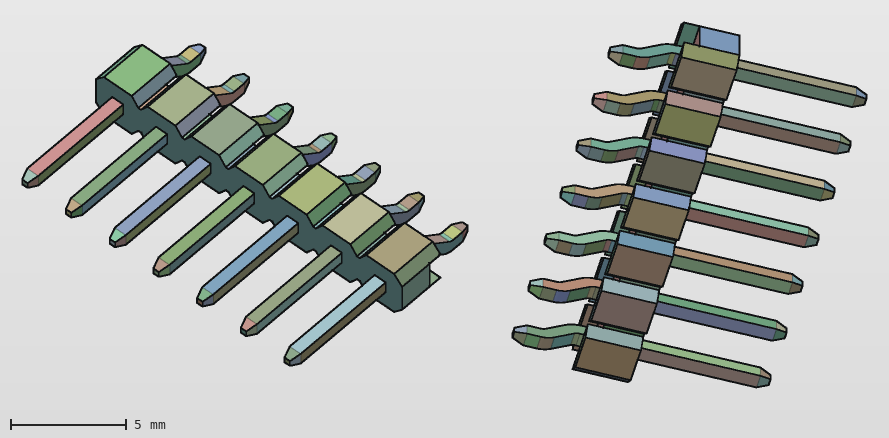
import cadquery as cq
import math

pin_count = 7
total_length = 17.78
pitch = total_length / pin_count

strip_height = 2.5
strip_depth = 2.49
corner_height = 0.5
end_chamfer = 0.46
notch_width = 0.92
notch_floor_width = 0.16
rear_channel_depth = 0.7
web_height = strip_height - 2 * corner_height

pin_width = 0.64
tip_width = 0.32
tip_length = 0.52
front_reach = 6.01
rear_reach = 3.0
bend_angle = math.radians(36)
bend_radius = 0.73
bend_offset = 0.12

front_pin_end = -front_reach
rear_pin_end = strip_depth + rear_reach


def notch_profile(x, side):
    """Trapezoid cut out between two positions; side is +1 for the top and -1 for the bottom."""
    outer_z = side * strip_height / 2
    floor_z = side * web_height / 2
    return (
        cq.Workplane("XZ")
        .polyline([
            (x - notch_width / 2, outer_z),
            (x - notch_floor_width / 2, floor_z),
            (x + notch_floor_width / 2, floor_z),
            (x + notch_width / 2, outer_z),
        ])
        .close()
    )


def make_strip():
    """Notched bar with chamfered ends and a channel along its rear face."""
    half_length = total_length / 2
    half_height = strip_height / 2
    half_web = web_height / 2
    flat_end = half_length - end_chamfer
    strip = (
        cq.Workplane("XZ")
        .polyline([
            (-half_length, -half_web),
            (-flat_end, -half_height),
            (flat_end, -half_height),
            (half_length, -half_web),
            (half_length, half_web),
            (flat_end, half_height),
            (-flat_end, half_height),
            (-half_length, half_web),
        ])
        .close()
        .extrude(-strip_depth)
    )
    for gap in range(1, pin_count):
        x = gap * pitch - half_length
        for side in (1, -1):
            strip = strip.cut(notch_profile(x, side).extrude(-strip_depth))

    channel = (
        cq.Workplane("XY")
        .box(total_length, rear_channel_depth, web_height)
        .translate((0, strip_depth - rear_channel_depth / 2, 0))
    )
    return strip.cut(channel)


def make_tip(y, z, direction):
    """Tapered pin end starting at (y, z) and pointing along direction * Y."""
    plane = cq.Plane(origin=(0, y, z), xDir=(1, 0, 0), normal=(0, direction, 0))
    return (
        cq.Workplane(plane)
        .rect(pin_width, pin_width)
        .workplane(offset=tip_length)
        .rect(tip_width, tip_width)
        .loft(ruled=True)
    )


def make_pin():
    """Square pin, straight in front and cranked down to a foot level with the strip bottom."""
    foot_z = (pin_width - strip_height) / 2
    bend_run = bend_radius * math.sin(bend_angle)
    bend_drop = bend_radius * (1 - math.cos(bend_angle))
    slope_drop = -foot_z - 2 * bend_drop
    slope_run = slope_drop / math.tan(bend_angle)
    half_bend_run = bend_radius * math.sin(bend_angle / 2)
    half_bend_drop = bend_radius * (1 - math.cos(bend_angle / 2))

    front_y = front_pin_end + tip_length
    rear_y = rear_pin_end - tip_length
    upper_bend_y = strip_depth + bend_offset
    slope_start_y = upper_bend_y + bend_run
    slope_end_y = slope_start_y + slope_run
    lower_bend_y = slope_end_y + bend_run

    path = (
        cq.Workplane("YZ")
        .moveTo(front_y, 0)
        .lineTo(upper_bend_y, 0)
        .threePointArc((upper_bend_y + half_bend_run, -half_bend_drop), (slope_start_y, -bend_drop))
        .lineTo(slope_end_y, foot_z + bend_drop)
        .threePointArc((lower_bend_y - half_bend_run, foot_z + half_bend_drop), (lower_bend_y, foot_z))
        .lineTo(rear_y, foot_z)
    )
    shank = (
        cq.Workplane("XZ", origin=(0, front_y, 0))
        .rect(pin_width, pin_width)
        .sweep(path)
    )
    return shank.union(make_tip(front_y, 0, -1)).union(make_tip(rear_y, foot_z, 1))


result = make_strip()
pin = make_pin()
for index in range(pin_count):
    pin_x = (index - (pin_count - 1) / 2) * pitch
    result = result.union(pin.translate((pin_x, 0, 0)))